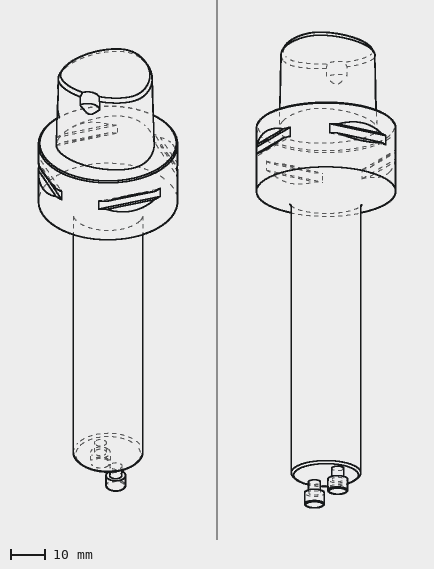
import cadquery as cq
import math

TOTAL_HEIGHT = 138.0
FLANGE_TOP = 114.1
FLANGE_BOTTOM = 94.1
SHAFT_BOTTOM = 7.0
HEAD_HEIGHT = 3.7

FLANGE_RADIUS = 40.0 / 2
FLANGE_CHAMFER = 0.4
SHAFT_RADIUS = 20.0 / 2
SHAFT_CHAMFER = 0.7
NECK_SLOPE = 15.0
NECK_FILLET = 2.8

SHANK_MEAN_RADIUS = 14.1
LOBE_HEIGHT = 0.8
SHANK_TAPER = 1 / 40
SHANK_CHAMFER_HEIGHT = 1.2
SHANK_CHAMFER_WIDTH = 0.7
PROFILE_POINTS = 48

NOTCH_RADIUS = 3.5
NOTCH_CENTER_Y = -14.1
NOTCH_SHOULDER = 134.0

GROOVE_CENTER_Z = 106.0
GROOVE_FLOOR_DISTANCE = 17.7
GROOVE_HEIGHT = 2.8
GROOVE_FLARE_DISTANCE = 18.6

SCREW_OFFSET = 4.5
SCREW_RADIUS = 3.5 / 2
HEAD_RADIUS = 5.7 / 2
HEAD_CHAMFER = 0.3


def make_body():
    """Flange, conical neck with a rounded inner corner, and shaft."""
    slope = math.radians(NECK_SLOPE)
    neck_end = FLANGE_BOTTOM - (FLANGE_RADIUS - SHAFT_RADIUS) * math.tan(slope)

    tangent_length = NECK_FILLET * math.tan((math.pi / 2 - slope) / 2)
    center_r = SHAFT_RADIUS + NECK_FILLET
    center_z = neck_end - tangent_length
    middle_angle = (math.pi + math.pi / 2 + slope) / 2
    cone_tangent = (
        SHAFT_RADIUS + tangent_length * math.cos(slope),
        neck_end + tangent_length * math.sin(slope),
    )
    arc_middle = (
        center_r + NECK_FILLET * math.cos(middle_angle),
        center_z + NECK_FILLET * math.sin(middle_angle),
    )
    return (
        cq.Workplane("XZ")
        .moveTo(0, FLANGE_TOP)
        .lineTo(FLANGE_RADIUS - FLANGE_CHAMFER, FLANGE_TOP)
        .lineTo(FLANGE_RADIUS, FLANGE_TOP - FLANGE_CHAMFER)
        .lineTo(FLANGE_RADIUS, FLANGE_BOTTOM)
        .lineTo(*cone_tangent)
        .threePointArc(arc_middle, (SHAFT_RADIUS, center_z))
        .lineTo(SHAFT_RADIUS, SHAFT_BOTTOM + SHAFT_CHAMFER)
        .lineTo(SHAFT_RADIUS - SHAFT_CHAMFER, SHAFT_BOTTOM)
        .lineTo(0, SHAFT_BOTTOM)
        .close()
        .revolve(360, (0, 0, 0), (0, 1, 0))
    )


def lobed_wire(mean_radius, z):
    """Constant-width curve whose tangent distance is mean_radius - LOBE_HEIGHT * sin(3 * angle)."""
    points = []
    for i in range(PROFILE_POINTS):
        angle = 2 * math.pi * i / PROFILE_POINTS
        distance = mean_radius - LOBE_HEIGHT * math.sin(3 * angle)
        slide = -3 * LOBE_HEIGHT * math.cos(3 * angle)
        x = distance * math.cos(angle) - slide * math.sin(angle)
        y = distance * math.sin(angle) + slide * math.cos(angle)
        points.append(cq.Vector(x, y, z))
    return cq.Wire.assembleEdges([cq.Edge.makeSpline(points, periodic=True)])


def make_shank():
    """Tapered three-lobed shank with a chamfered top edge."""
    chamfer_z = TOTAL_HEIGHT - SHANK_CHAMFER_HEIGHT
    chamfer_radius = SHANK_MEAN_RADIUS - (chamfer_z - FLANGE_TOP) * SHANK_TAPER
    bottom = lobed_wire(SHANK_MEAN_RADIUS, FLANGE_TOP)
    shoulder = lobed_wire(chamfer_radius, chamfer_z)
    top = lobed_wire(chamfer_radius - SHANK_CHAMFER_WIDTH, TOTAL_HEIGHT)
    return cq.Workplane("XY").newObject([cq.Solid.makeLoft([bottom, shoulder, top], True)])


def make_notch():
    """Vertical bore cutter with a conical lower end."""
    return (
        cq.Workplane("XZ")
        .moveTo(0, TOTAL_HEIGHT)
        .lineTo(NOTCH_RADIUS, TOTAL_HEIGHT)
        .lineTo(NOTCH_RADIUS, NOTCH_SHOULDER)
        .lineTo(0, NOTCH_SHOULDER - NOTCH_RADIUS)
        .close()
        .revolve(360, (0, 0, 0), (0, 1, 0))
        .translate((0, NOTCH_CENTER_Y, 0))
    )


def make_groove():
    """Square groove cutter with a flared mouth, on the +X side of the flange."""
    floor_half = GROOVE_HEIGHT / 2
    mouth_half = floor_half + FLANGE_RADIUS - GROOVE_FLARE_DISTANCE
    return (
        cq.Workplane("XZ")
        .polyline([
            (GROOVE_FLOOR_DISTANCE, GROOVE_CENTER_Z - floor_half),
            (GROOVE_FLARE_DISTANCE, GROOVE_CENTER_Z - floor_half),
            (FLANGE_RADIUS, GROOVE_CENTER_Z - mouth_half),
            (FLANGE_RADIUS, GROOVE_CENTER_Z + mouth_half),
            (GROOVE_FLARE_DISTANCE, GROOVE_CENTER_Z + floor_half),
            (GROOVE_FLOOR_DISTANCE, GROOVE_CENTER_Z + floor_half),
        ])
        .close()
        .extrude(FLANGE_RADIUS, both=True)
    )


def make_screw():
    """Screw with a chamfered head, reaching up to the shaft end."""
    head = cq.Workplane("XY").circle(HEAD_RADIUS).extrude(HEAD_HEIGHT)
    head = head.faces("<Z").chamfer(HEAD_CHAMFER)
    return head.union(cq.Workplane("XY").circle(SCREW_RADIUS).extrude(SHAFT_BOTTOM))


result = make_body().union(make_shank()).cut(make_notch())

for groove_angle in (45, 135, 225, 315):
    result = result.cut(make_groove().rotate((0, 0, 0), (0, 0, 1), groove_angle))

for side in (-1, 1):
    result = result.union(make_screw().translate((side * SCREW_OFFSET, -side * SCREW_OFFSET, 0)))